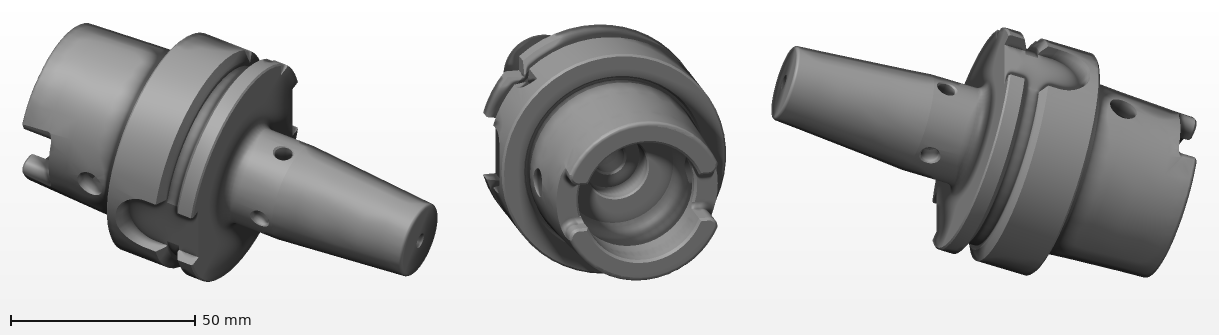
import cadquery as cq
import math


total_length = 112.0
flange_radius = 31.5
far_reach = 44.8

shank_tip_radius = 22.7
shank_tip_round = 1.1
shank_taper = 1 / 20
shank_end = 29.8
neck_start = 30.8
neck_radius = 24.0
undercut_radius = 25.3
undercut_depth = 0.6

flange_start = 32.0
flange_end = 58.0
flange_front_edge = 0.6
flange_back_edge = 0.5
groove_start = 48.3
groove_end = 52.0
groove_radius = 27.5
groove_lip_run = 1.6
groove_lip_angle = math.radians(60)
groove_lip_drop = groove_lip_run * math.tan(groove_lip_angle)

nose_root_fillet = 2.7
nose_radius = 13.5
nose_taper_start = 73.6
nose_tip_radius = 10.5
nose_tip_round = 0.9

mouth_radius = 16.8
mouth_chamfer = 0.7
clamp_lip_end = 12.5
chamber_radius = 19.0
chamber_fillet = 4.5
chamber_fillet_start = 24.5
chamber_floor_radius = 15.7
clamp_lip_angle = math.radians(60)
clamp_lip_run = (chamber_radius - mouth_radius) / math.tan(clamp_lip_angle)
fillet_side_run = chamber_fillet - (chamber_radius - chamber_floor_radius)
chamber_floor = chamber_fillet_start + math.sqrt(chamber_fillet**2 - fillet_side_run**2)
tube_seat_radius = 8.5
tube_seat_depth = 9.0
tube_seat_chamfer = 0.5
screw_bore_radius = 4.4
screw_bore_depth = 6.7
screw_bore_chamfer = 0.6
coolant_radius = 2.1
drill_tip_angle = math.radians(59)

slot_half_width = 6.3
slot_flare_radius = 2.6
slot_shelf = 20.7
slot_floor_fillet = 1.5
slot_mouth_chamfer = 0.7
slot_depth_front = 9.9
slot_depth_back = 5.8

access_radius = 3.9
access_x_front = 23.0
access_x_back = 22.6

flat_height = 26.5
flat_half_width = 9.0
flat_corner_radius = 8.1
flat_start = 35.1
flat_end_lean = 1.6
flat_open_end = flange_end + 4 * flat_end_lean

notch_corner = 20.0
notch_end_radius = 7.8
notch_round_start = 45.1

balance_x = 69.8
balance_radius = 2.5
balance_countersink = 0.5
balance_depth = 6.0
balance_count = 4


def make_body():
    """Solid turned outline of shank, flange and nose."""
    lip_radius = flange_radius - groove_lip_drop
    shank_end_radius = shank_tip_radius + shank_taper * shank_end
    round_mid = nose_tip_round * (1 - math.sqrt(0.5))
    outline = (
        cq.Workplane("XY")
        .moveTo(0, 0)
        .lineTo(0, shank_tip_radius - shank_tip_round)
        .radiusArc((shank_tip_round, shank_tip_radius + shank_taper * shank_tip_round), shank_tip_round)
        .lineTo(shank_end, shank_end_radius)
        .lineTo(neck_start, neck_radius)
        .lineTo(flange_start + undercut_depth, neck_radius)
        .lineTo(flange_start + undercut_depth, undercut_radius - undercut_depth)
        .lineTo(flange_start, undercut_radius)
        .lineTo(flange_start, flange_radius - flange_front_edge)
        .lineTo(flange_start + flange_front_edge, flange_radius)
        .lineTo(groove_start - groove_lip_run, flange_radius)
        .lineTo(groove_start, lip_radius)
        .lineTo(groove_start, groove_radius)
        .lineTo(groove_end, groove_radius)
        .lineTo(groove_end, lip_radius)
        .lineTo(groove_end + groove_lip_run, flange_radius)
        .lineTo(flange_end - flange_back_edge, flange_radius)
        .lineTo(flange_end, flange_radius - flange_back_edge)
        .lineTo(flange_end, nose_radius + nose_root_fillet)
        .radiusArc((flange_end + nose_root_fillet, nose_radius), -nose_root_fillet)
        .lineTo(nose_taper_start, nose_radius)
        .lineTo(total_length - nose_tip_round, nose_tip_radius)
        .threePointArc(
            (total_length - round_mid, nose_tip_radius - round_mid),
            (total_length, nose_tip_radius - nose_tip_round),
        )
        .lineTo(total_length, 0)
        .close()
    )
    return outline.revolve(360, (0, 0, 0), (1, 0, 0))


def make_bore():
    """Turned hollow: mouth, clamping chamber, coolant tube seat, screw bore and coolant hole."""
    seat_end = chamber_floor + tube_seat_depth
    screw_end = seat_end + screw_bore_depth
    tip_end = screw_end + (screw_bore_radius - coolant_radius) / math.tan(drill_tip_angle)
    outline = (
        cq.Workplane("XY")
        .moveTo(0, 0)
        .lineTo(0, mouth_radius + mouth_chamfer)
        .lineTo(mouth_chamfer, mouth_radius)
        .lineTo(clamp_lip_end, mouth_radius)
        .lineTo(clamp_lip_end + clamp_lip_run, chamber_radius)
        .lineTo(chamber_fillet_start, chamber_radius)
        .radiusArc((chamber_floor, chamber_floor_radius), chamber_fillet)
        .lineTo(chamber_floor, tube_seat_radius + tube_seat_chamfer)
        .lineTo(chamber_floor + tube_seat_chamfer, tube_seat_radius)
        .lineTo(seat_end, tube_seat_radius)
        .lineTo(seat_end, screw_bore_radius + screw_bore_chamfer)
        .lineTo(seat_end + screw_bore_chamfer, screw_bore_radius)
        .lineTo(screw_end, screw_bore_radius)
        .lineTo(tip_end, coolant_radius)
        .lineTo(total_length, coolant_radius)
        .lineTo(total_length, 0)
        .close()
    )
    return outline.revolve(360, (0, 0, 0), (1, 0, 0))


def drive_slot_profile(x, growth):
    """Closed outline of a drive slot in the plane at x, grown outward evenly; its walls flare to a shelf."""
    half_width = slot_half_width + growth
    shelf = slot_shelf - growth
    flare_radius = slot_flare_radius - growth
    flare_start = shelf - flare_radius
    flare_end = half_width + flare_radius
    return (
        cq.Workplane("YZ", origin=(x, 0, 0))
        .moveTo(0, -half_width)
        .lineTo(flare_start, -half_width)
        .radiusArc((shelf, -flare_end), flare_radius)
        .lineTo(shelf, -far_reach)
        .lineTo(far_reach, -far_reach)
        .lineTo(far_reach, far_reach)
        .lineTo(shelf, far_reach)
        .lineTo(shelf, flare_end)
        .radiusArc((flare_start, half_width), flare_radius)
        .lineTo(0, half_width)
        .close()
    )


def make_drive_slot(depth):
    """Cutter for a drive slot on the +Y side, with rounded floor corners and beveled mouth and bore edges."""
    slot = drive_slot_profile(0, 0).extrude(depth).faces(">X").edges().fillet(slot_floor_fillet)
    mouth_rim = drive_slot_profile(-slot_mouth_chamfer, 2 * slot_mouth_chamfer).val()
    mouth_foot = drive_slot_profile(slot_mouth_chamfer, 0).val()
    mouth = cq.Workplane(cq.Solid.makeLoft([mouth_rim, mouth_foot], True))
    floor_bevel = (
        cq.Workplane("YZ", origin=(depth, 0, 0))
        .circle(mouth_radius + mouth_chamfer)
        .extrude(mouth_chamfer, taper=45)
    )
    bevel_width = 2 * (slot_half_width - slot_floor_fillet)
    bevel_limit = cq.Workplane("XY").box(far_reach, far_reach, bevel_width, centered=(True, False, True))
    return slot.union(mouth).union(floor_bevel.intersect(bevel_limit))


def make_access_hole(x):
    """Cutter for a round hole through the shank wall on the +Y side."""
    return cq.Workplane("XZ", origin=(x, 0, 0)).circle(access_radius).extrude(-far_reach)


def make_flange_flat():
    """Cutter for a round-ended flat on the +Y side, open toward the nose."""
    floor_start = flat_start + flat_end_lean
    arc_x = floor_start + flat_corner_radius
    arc_z = flat_half_width - flat_corner_radius
    outline = (
        cq.Workplane("XZ", origin=(0, flat_height, 0))
        .moveTo(flat_open_end, -flat_half_width)
        .lineTo(arc_x, -flat_half_width)
        .radiusArc((floor_start, -arc_z), flat_corner_radius)
        .lineTo(floor_start, arc_z)
        .radiusArc((arc_x, flat_half_width), flat_corner_radius)
        .lineTo(flat_open_end, flat_half_width)
        .close()
    )
    rise_to_rim = cq.Vector(-flat_end_lean, flange_radius - flat_height, 0)
    return cq.Workplane(cq.Solid.extrudeLinear(outline.val(), [], rise_to_rim * 2))


def make_notch():
    """Cutter for the notch between +Y and +Z, running out in an arc toward the shank."""
    outline = (
        cq.Workplane("XZ", origin=(0, notch_corner, 0))
        .moveTo(flange_end, notch_corner)
        .lineTo(notch_round_start, notch_corner)
        .radiusArc((notch_round_start - notch_end_radius, notch_corner + notch_end_radius), notch_end_radius)
        .lineTo(flange_end, notch_corner + notch_end_radius)
        .close()
    )
    return outline.extrude(-far_reach)


def make_balance_hole():
    """Cutter for a countersunk, drill-pointed hole entering the nose from +Z."""
    bottom = nose_radius - balance_depth
    rim = balance_radius + balance_countersink
    outline = (
        cq.Workplane("XZ", origin=(balance_x, 0, 0))
        .moveTo(0, bottom - balance_radius / math.tan(drill_tip_angle))
        .lineTo(balance_radius, bottom)
        .lineTo(balance_radius, nose_radius - balance_countersink)
        .lineTo(rim, nose_radius)
        .lineTo(0, nose_radius)
        .close()
    )
    return outline.revolve(360, (0, 0, 0), (0, 1, 0))


def turned(cutter, angle):
    """Turn a cutter about the part axis."""
    return cutter.rotate((0, 0, 0), (1, 0, 0), angle)


result = make_body().cut(make_bore())
result = result.cut(make_drive_slot(slot_depth_back))
result = result.cut(turned(make_drive_slot(slot_depth_front), 180))
result = result.cut(make_access_hole(access_x_back))
result = result.cut(turned(make_access_hole(access_x_front), 180))
for side_angle in (0, 180):
    result = result.cut(turned(make_flange_flat(), side_angle))
result = result.cut(make_notch())
for i in range(balance_count):
    result = result.cut(turned(make_balance_hole(), i * 360 / balance_count))